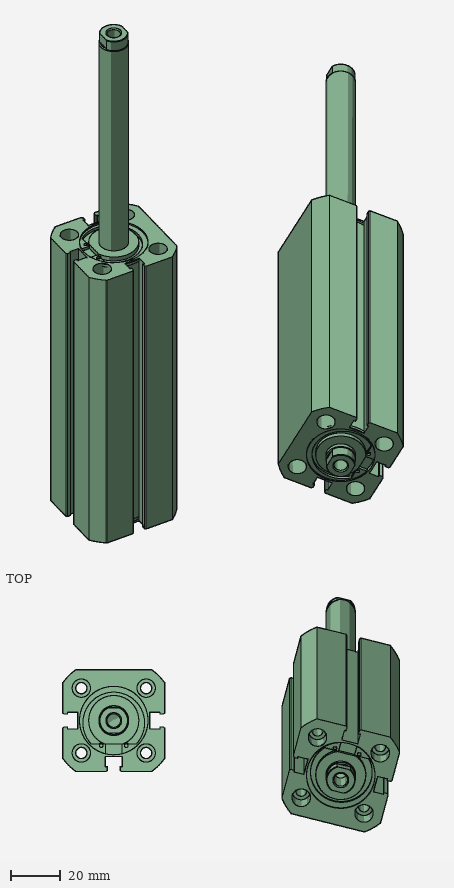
import cadquery as cq
import math


body_width = 41.0
body_height = 132.8
corner_radius = 25.5
bore_radius = 13.7
cut_overlap = 2.5

slot_neck_width = 5.1
slot_width = 6.5
slot_lip = 2.0
slot_mouth_chamfer = 0.5
slot_floor = 14.5

mount_offset = 13.0
mount_hole_radius = 2.2
counterbore_radius = 3.7
counterbore_depth = 9.8

rod_diameter = 12.0
rod_top_extension = 105.5
rod_bottom_extension = 6.5
rod_end_length = 4.5
rod_end_diameter = 11.5
rod_chamfer = 0.5
rod_end_chamfer = 0.2
flat_spacing = 10.0
rod_hole_radius = 2.7
rod_hole_depth = 12.2
rod_hole_chamfer = 0.5
drill_tip_angle = 118.0

ring_recess = 0.7
ring_thickness = 1.2
ring_floor_wall = 0.07
ring_radius = slot_floor - ring_floor_wall
ring_inner_diameter = 24.7
ring_eccentricity = 1.0
ear_edge = 9.3
ring_gap = 6.5
ear_hole_radius = 0.7
ear_boss_radius = 1.1
ear_hole_spacing = 10.0
ear_hole_y = -10.0

cap_depth = ring_recess + ring_thickness
cap_flange_thickness = 7.4
hub_radius = 10.0


def mirrored_to_bottom(upper):
    """Copy of an upper-end body, mirrored through the barrel's mid-height."""
    return upper.mirror("XY", (0, 0, body_height / 2))


def make_ring():
    """Upper retaining ring: eccentric inner edge and two ears with plier holes at -Y."""
    base = cq.Workplane("XY").workplane(offset=body_height - cap_depth)
    disc = base.circle(ring_radius).extrude(ring_thickness)
    opening = base.center(0, -ring_eccentricity).circle(ring_inner_diameter / 2).extrude(ring_thickness)
    ear_side = base.center(0, -ear_edge - ring_radius / 2).rect(2 * ring_radius, ring_radius)
    opening = opening.cut(ear_side.extrude(ring_thickness))
    gap = base.center(0, -ring_radius / 2).rect(ring_gap, ring_radius).extrude(ring_thickness)
    ear_hole_x = ear_hole_spacing / 2
    ears = base.pushPoints([(-ear_hole_x, ear_hole_y), (ear_hole_x, ear_hole_y)])
    ear_bosses = ears.circle(ear_boss_radius).extrude(ring_thickness)
    ear_holes = ears.circle(ear_hole_radius).extrude(ring_thickness)
    return disc.cut(opening).cut(gap).union(ear_bosses).cut(ear_holes)


def make_cap():
    """Upper end cap: flange in the bore and a hub, flush with the barrel, flattened at the ears."""
    flange = (
        cq.Workplane("XY")
        .workplane(offset=body_height - cap_depth - cap_flange_thickness)
        .circle(bore_radius)
        .extrude(cap_flange_thickness)
    )
    hub_base = cq.Workplane("XY").workplane(offset=body_height - cap_depth)
    hub = hub_base.circle(hub_radius).extrude(cap_depth)
    hub_flat = hub_base.center(0, -ear_edge - hub_radius / 2).rect(2 * hub_radius, hub_radius)
    hub = hub.cut(hub_flat.extrude(cap_depth))
    rod_passage = cq.Workplane("XY").circle(rod_diameter / 2).extrude(body_height)
    return flange.union(hub).cut(rod_passage)


def make_slot():
    """Cutting shape of one T-shaped sensor slot, opening with a chamfered mouth towards -Y."""
    half_width = body_width / 2
    channel_depth = half_width - slot_lip - slot_floor
    channel = (
        cq.Workplane("XY")
        .center(0, -slot_floor - channel_depth / 2)
        .rect(slot_width, channel_depth)
        .extrude(body_height)
    )
    mouth_depth = half_width - slot_floor + cut_overlap
    mouth = (
        cq.Workplane("XY")
        .center(0, -slot_floor - mouth_depth / 2)
        .rect(slot_neck_width, mouth_depth)
        .extrude(body_height)
    )
    half_neck = slot_neck_width / 2
    half_mouth = half_neck + slot_mouth_chamfer
    mouth_bevel = (
        cq.Workplane("XY")
        .polyline([
            (-half_mouth, -half_width),
            (half_mouth, -half_width),
            (half_neck, -half_width + slot_mouth_chamfer),
            (-half_neck, -half_width + slot_mouth_chamfer),
        ])
        .close()
        .extrude(body_height)
    )
    return channel.union(mouth).union(mouth_bevel)


def make_barrel(rings):
    """Square profile with bore, sensor slots, counterbored holes and ring grooves."""
    barrel = cq.Workplane("XY").rect(body_width, body_width).extrude(body_height)
    barrel = barrel.intersect(cq.Workplane("XY").circle(corner_radius).extrude(body_height))
    barrel = barrel.cut(cq.Workplane("XY").circle(bore_radius).extrude(body_height))

    slot = make_slot()
    for angle in (-90, 0, 90):
        barrel = barrel.cut(slot.rotate((0, 0, 0), (0, 0, 1), angle))

    mount_spacing = 2 * mount_offset
    mounts = cq.Workplane("XY").rect(mount_spacing, mount_spacing, forConstruction=True).vertices()
    barrel = barrel.cut(mounts.circle(mount_hole_radius).extrude(body_height))
    counterbores = mounts.circle(counterbore_radius).extrude(counterbore_depth)
    barrel = barrel.cut(counterbores).cut(mirrored_to_bottom(counterbores))

    for ring in rings:
        barrel = barrel.cut(ring)
    return barrel


def make_rod_end_hole(end_z):
    """Cutting shape of the chamfered blind hole, going down from end_z to a drill tip."""
    tip_height = rod_hole_radius / math.tan(math.radians(drill_tip_angle / 2))
    profile = [
        (0, end_z),
        (rod_hole_radius + rod_hole_chamfer, end_z),
        (rod_hole_radius, end_z - rod_hole_chamfer),
        (rod_hole_radius, end_z - rod_hole_depth),
        (0, end_z - rod_hole_depth - tip_height),
    ]
    return cq.Workplane("XZ").polyline(profile).close().revolve(360, (0, 0, 0), (0, 1, 0))


def make_rod():
    """Through rod with reduced, flatted and drilled ends."""
    length = body_height + rod_top_extension + rod_bottom_extension
    shank = (
        cq.Workplane("XY")
        .workplane(offset=rod_end_length)
        .circle(rod_diameter / 2)
        .extrude(length - 2 * rod_end_length)
        .faces("<Z or >Z")
        .chamfer(rod_chamfer)
    )
    flatted = (
        cq.Workplane("XY")
        .circle(rod_end_diameter / 2)
        .extrude(length)
        .faces("<Z or >Z")
        .chamfer(rod_end_chamfer)
        .intersect(cq.Workplane("XY").rect(rod_end_diameter, flat_spacing).extrude(length))
    )
    top_hole = make_rod_end_hole(length)
    bottom_hole = top_hole.mirror("XY", (0, 0, length / 2))
    rod = shank.union(flatted).cut(top_hole).cut(bottom_hole)
    return rod.translate((0, 0, -rod_bottom_extension))


top_ring = make_ring()
rings = [top_ring, mirrored_to_bottom(top_ring)]
top_cap = make_cap()
caps = [top_cap, mirrored_to_bottom(top_cap)]
barrel = make_barrel(rings)
rod = make_rod()

result = cq.Compound.makeCompound(
    [barrel.val(), rod.val()] + [ring.val() for ring in rings] + [cap.val() for cap in caps]
)